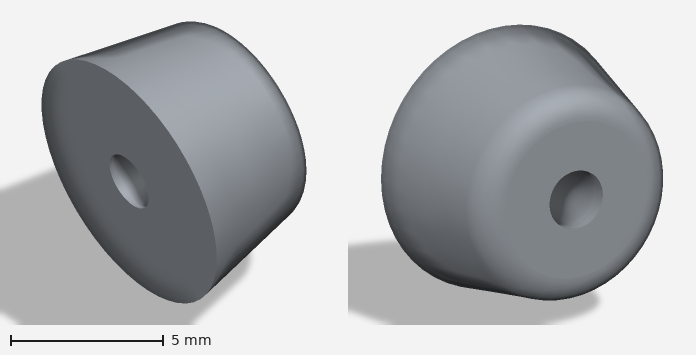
import cadquery as cq

base_diameter = 9.0
end_diameter = 7.0
height = 5.0
hole_diameter = 2.0
rim_radius = 1.0

base_radius = base_diameter / 2
end_radius = end_diameter / 2
hole_radius = hole_diameter / 2

half_section = (
    cq.Workplane("XY")
    .moveTo(hole_radius, 0)
    .lineTo(base_radius, 0)
    .lineTo(end_radius, height)
    .lineTo(hole_radius, height)
    .close()
)
foot = half_section.revolve(360, (0, 0, 0), (0, 1, 0))

outer_rim = cq.selectors.RadiusNthSelector(-1)
result = foot.faces(">Y").edges(outer_rim).fillet(rim_radius)